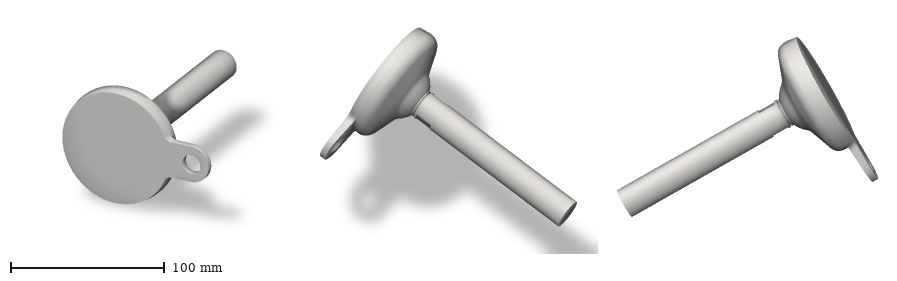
import cadquery as cq
import math


BASE_RADIUS = 40.0
SOLE_RADIUS = 39.1
RIM_BOTTOM = 6.2
RIM_TOP = 9.0
SHOULDER_RADIUS = 35.1
SHOULDER_HEIGHT = 15.9
CONE_TOP_RADIUS = 19.8
CONE_TOP_HEIGHT = 21.8
DOME_FOOT_RADIUS = 17.7
DOME_FOOT_HEIGHT = 23.2
COLLAR_BOTTOM_RADIUS = 9.4
COLLAR_BOTTOM = 30.0
COLLAR_TOP_RADIUS = 9.8
COLLAR_TOP = 30.9

LUG_RADIUS = 12.5
LUG_TIP = 68.0
LUG_CENTER = LUG_TIP - LUG_RADIUS
LUG_HOLE_DIAMETER = 13.0
LUG_TIP_THICKNESS = 4.1
LUG_SLOPE = 3.0
LUG_ROOT_FILLET = 5.0

STUD_TOP = 151.5
STUD_RADIUS = 10.0
STUD_BOTTOM = 32.0
NECK_RADIUS = 8.3
FLAT_BOTTOM = 33.6
FLAT_TOP = 45.3
FLAT_HALF_WIDTH = 8.6


def arc_middle(start, end, center):
    """Point halfway along the short arc from start to end about center."""
    radius = math.dist(start, center)
    toward_x = start[0] + end[0] - 2 * center[0]
    toward_y = start[1] + end[1] - 2 * center[1]
    scale = radius / math.hypot(toward_x, toward_y)
    return (center[0] + toward_x * scale, center[1] + toward_y * scale)


def make_body_of_base():
    """Turned part of the base: rim, shoulder, cone, spherical dome and collar."""
    dome_foot = (DOME_FOOT_RADIUS, DOME_FOOT_HEIGHT)
    dome_top = (COLLAR_BOTTOM_RADIUS, COLLAR_BOTTOM)
    dome_center_height = (
        (COLLAR_BOTTOM_RADIUS**2 + COLLAR_BOTTOM**2 - DOME_FOOT_RADIUS**2 - DOME_FOOT_HEIGHT**2)
        / (2 * (COLLAR_BOTTOM - DOME_FOOT_HEIGHT))
    )
    dome_middle = arc_middle(dome_foot, dome_top, (0, dome_center_height))
    return (
        cq.Workplane("XY")
        .lineTo(SOLE_RADIUS, 0)
        .lineTo(BASE_RADIUS, RIM_BOTTOM)
        .lineTo(BASE_RADIUS, RIM_TOP)
        .tangentArcPoint((SHOULDER_RADIUS, SHOULDER_HEIGHT), relative=False)
        .lineTo(CONE_TOP_RADIUS, CONE_TOP_HEIGHT)
        .tangentArcPoint(dome_foot, relative=False)
        .threePointArc(dome_middle, dome_top)
        .lineTo(COLLAR_TOP_RADIUS, COLLAR_TOP)
        .lineTo(0, COLLAR_TOP)
        .close()
        .revolve(360, (0, 0, 0), (0, 1, 0))
    )


def make_lug():
    """Round-ended lug towards +X with a sloping top face."""
    root_thickness = LUG_TIP_THICKNESS + LUG_TIP * math.tan(math.radians(LUG_SLOPE))
    side_profile = (
        cq.Workplane("XY")
        .polyline([(0, 0), (LUG_TIP, 0), (LUG_TIP, LUG_TIP_THICKNESS), (0, root_thickness)])
        .close()
        .extrude(LUG_RADIUS, both=True)
    )
    outline = (
        cq.Workplane("XZ")
        .moveTo(0, -LUG_RADIUS)
        .lineTo(LUG_CENTER, -LUG_RADIUS)
        .threePointArc((LUG_TIP, 0), (LUG_CENTER, LUG_RADIUS))
        .lineTo(0, LUG_RADIUS)
        .close()
        .extrude(-root_thickness)
    )
    return outline.intersect(side_profile)


def make_base():
    base = make_body_of_base().union(make_lug())
    root_x = math.sqrt(SOLE_RADIUS**2 - LUG_RADIUS**2)
    for side in (-1, 1):
        root = (root_x, LUG_TIP_THICKNESS / 2, side * LUG_RADIUS)
        base = base.edges(cq.selectors.NearestToPointSelector(root)).fillet(LUG_ROOT_FILLET)
    hole = (
        cq.Workplane("XZ")
        .center(LUG_CENTER, 0)
        .circle(LUG_HOLE_DIAMETER / 2)
        .extrude(-RIM_TOP)
    )
    return base.cut(hole)


def make_stud():
    """Round stud with a narrow neck standing on the collar, and two wrench flats."""
    neck = (
        cq.Workplane("XZ", origin=(0, COLLAR_TOP, 0))
        .circle(NECK_RADIUS)
        .extrude(COLLAR_TOP - STUD_BOTTOM)
    )
    shank = (
        cq.Workplane("XZ", origin=(0, STUD_BOTTOM, 0))
        .circle(STUD_RADIUS)
        .extrude(STUD_BOTTOM - STUD_TOP)
    )
    stud = neck.union(shank)
    for side in (-1, 1):
        flat_cutter = cq.Workplane("XY").box(
            STUD_RADIUS, FLAT_TOP - FLAT_BOTTOM, 2 * STUD_RADIUS
        ).translate((side * (FLAT_HALF_WIDTH + STUD_RADIUS / 2), (FLAT_TOP + FLAT_BOTTOM) / 2, 0))
        stud = stud.cut(flat_cutter)
    return stud


base = make_base()
stud = make_stud()

result = cq.Compound.makeCompound([base.solids().val(), stud.solids().val()])